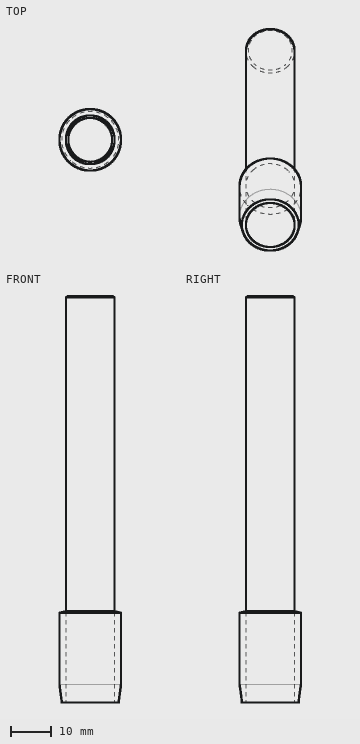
import cadquery as cq

total_length = 100.0
pin_radius = 6.0
pin_chamfer_width = 0.6
pin_chamfer_height = 0.4

sleeve_radius = 7.6
sleeve_height = 22.5
top_bevel_height = 0.4
nose_radius = 7.0
nose_height = 4.5


def make_pin():
    """Shaft with a shallow bevel around its top end, turned about Z."""
    return (
        cq.Workplane("XZ")
        .lineTo(pin_radius, 0)
        .lineTo(pin_radius, total_length - pin_chamfer_height)
        .lineTo(pin_radius - pin_chamfer_width, total_length)
        .lineTo(0, total_length)
        .close()
        .revolve(360, (0, 0, 0), (0, 1, 0))
    )


def make_sleeve():
    """Ring with a tapered nose below and a top that slopes gently up to the pin."""
    return (
        cq.Workplane("XZ")
        .moveTo(pin_radius, 0)
        .lineTo(nose_radius, 0)
        .lineTo(sleeve_radius, nose_height)
        .lineTo(sleeve_radius, sleeve_height - top_bevel_height)
        .lineTo(pin_radius, sleeve_height)
        .close()
        .revolve(360, (0, 0, 0), (0, 1, 0))
    )


pin = make_pin()
sleeve = make_sleeve()
result = cq.Compound.makeCompound([pin.val(), sleeve.val()])